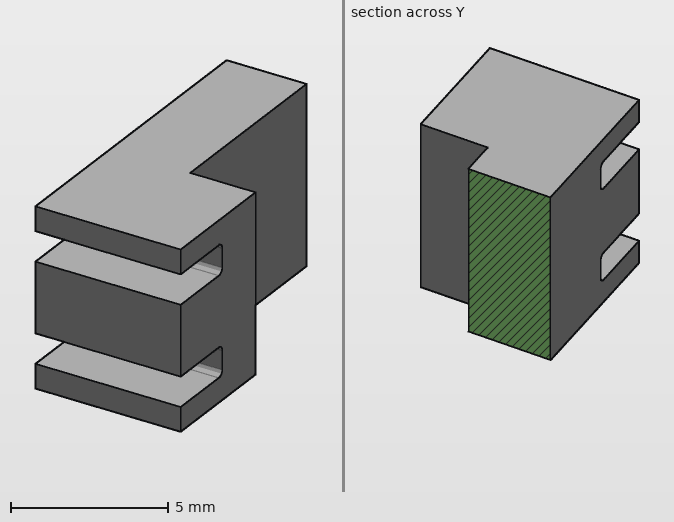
import cadquery as cq

width = 5.45
length = 11.5
height = 6.6

leg_width = 3.0
foot_length = 4.5

slot_height = 1.1
slot_depth = 2.5
slot_corner_radius = 0.2
outer_wall = 0.9

slot_offset = height / 2 - outer_wall - slot_height / 2


def make_body():
    """L-shaped plate with its outer corner at X = Y = 0, centred on Z = 0."""
    outline = [
        (0, 0),
        (width, 0),
        (width, foot_length),
        (leg_width, foot_length),
        (leg_width, length),
        (0, length),
    ]
    return cq.Workplane("XY").workplane(offset=-height / 2).polyline(outline).close().extrude(height)


def make_slot(center_z):
    """Cutter for one slot, with rounded corners along its closed end."""
    return (
        cq.Workplane("XY")
        .box(width, slot_depth, slot_height, centered=(False, False, True))
        .edges("|X and >Y")
        .fillet(slot_corner_radius)
        .translate((0, 0, center_z))
    )


result = make_body()
for center_z in (-slot_offset, slot_offset):
    result = result.cut(make_slot(center_z))